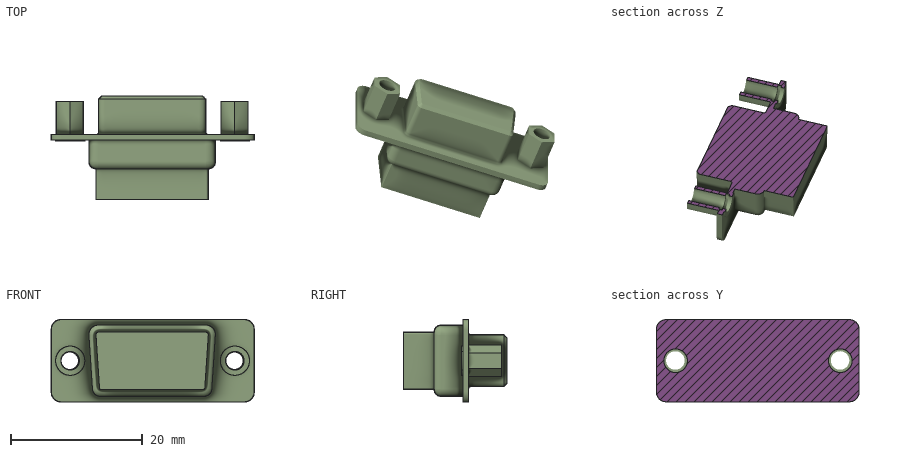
import cadquery as cq
import math


plate_length = 30.8
plate_height = 12.55
plate_thickness = 0.9
plate_corner_radius = 1.5
plate_offset_x = 0.1

side_lean = math.radians(3.8)

hood_half_width = 9.35
hood_height = 10.8
hood_length = 4.35
hood_top_radius = 1.42
hood_bottom_radius = 1.17
hood_edge_radius = 1.05

body_inset = 1.08
body_length = 4.65
body_half_width = hood_half_width - body_inset
body_height = hood_height - 2 * body_inset
body_top_radius = hood_top_radius - body_inset
body_bottom_radius = hood_bottom_radius - body_inset

plug_half_width = 7.95
plug_height = 7.9
plug_length = 5.82
plug_top_radius = 1.0
plug_bottom_radius = 0.68
plug_chamfer = 0.5
plug_root_radius = 0.28

standoff_spacing = 25.0
standoff_flats = 4.13
standoff_length = 5.0
standoff_bore = 2.65
collar_diameter = 4.45
collar_height = 0.15
collar_bore = 2.8
undercut_diameter = 3.5
undercut_start = 0.43
collar_offset_x = 0.05


def d_prism(half_width, height, top_radius, bottom_radius, start_y, length):
    """D-shaped prism running from start_y toward -Y."""
    half_height = height / 2
    lean = half_height * math.tan(side_lean)
    outline = [
        (-half_width - lean, half_height),
        (half_width + lean, half_height),
        (half_width - lean, -half_height),
        (-half_width + lean, -half_height),
    ]
    prism = cq.Workplane("XZ", origin=(0, start_y, 0)).polyline(outline).close().extrude(length)
    prism = prism.edges("|Y and >Z").fillet(top_radius)
    return prism.edges("|Y").edges("<Z").fillet(bottom_radius)


def cylinder(x, diameter, start_y, end_y):
    """Cylinder along Y between two Y positions."""
    plane = cq.Workplane("XZ", origin=(x, end_y, 0))
    return plane.circle(diameter / 2).extrude(end_y - start_y)


def make_plate():
    plate = cq.Workplane("XY").box(plate_length, plate_thickness, plate_height)
    plate = plate.edges("|Y").fillet(plate_corner_radius)
    return plate.translate((plate_offset_x, plate_thickness / 2, 0))


def make_hood():
    hood = d_prism(hood_half_width, hood_height, hood_top_radius, hood_bottom_radius, 0, hood_length)
    return hood.faces("<Y").edges().fillet(hood_edge_radius)


def make_body():
    return d_prism(
        body_half_width, body_height, body_top_radius, body_bottom_radius, 0, hood_length + body_length
    )


def make_plug():
    plug_end = plate_thickness + plug_length
    plug = d_prism(
        plug_half_width, plug_height, plug_top_radius, plug_bottom_radius, plug_end, plug_length
    )
    return plug.faces(">Y").edges().chamfer(plug_chamfer)


def make_standoff(x):
    across_corners = standoff_flats / math.cos(math.pi / 6)
    standoff_end = plate_thickness + standoff_length
    plane = cq.Workplane("XZ", origin=(x, standoff_end, 0)).transformed(rotate=(0, 0, 90))
    return plane.polygon(6, across_corners).extrude(standoff_length)


def round_plug_root(part):
    """Fillet the edges where the plug meets the plate back face."""
    slab_half_thickness = 0.03
    root_edges = cq.selectors.BoxSelector(
        (-hood_half_width, plate_thickness - slab_half_thickness, -hood_height / 2),
        (hood_half_width, plate_thickness + slab_half_thickness, hood_height / 2),
    )
    return part.edges(root_edges).fillet(plug_root_radius)


def add_mount(part, x):
    """Add a bored standoff behind the plate and its undercut collar in front."""
    collar_x = x + collar_offset_x
    standoff_end = plate_thickness + standoff_length
    part = part.union(make_standoff(x))
    part = part.union(cylinder(collar_x, collar_diameter, -collar_height, plate_thickness))
    part = part.cut(cylinder(collar_x, collar_bore, -collar_height, plate_thickness))
    part = part.cut(cylinder(collar_x, undercut_diameter, undercut_start, plate_thickness))
    return part.cut(cylinder(x, standoff_bore, plate_thickness, standoff_end))


result = round_plug_root(make_plate().union(make_plug()))
result = result.union(make_hood()).union(make_body())
for side in (-1, 1):
    result = add_mount(result, side * standoff_spacing / 2)